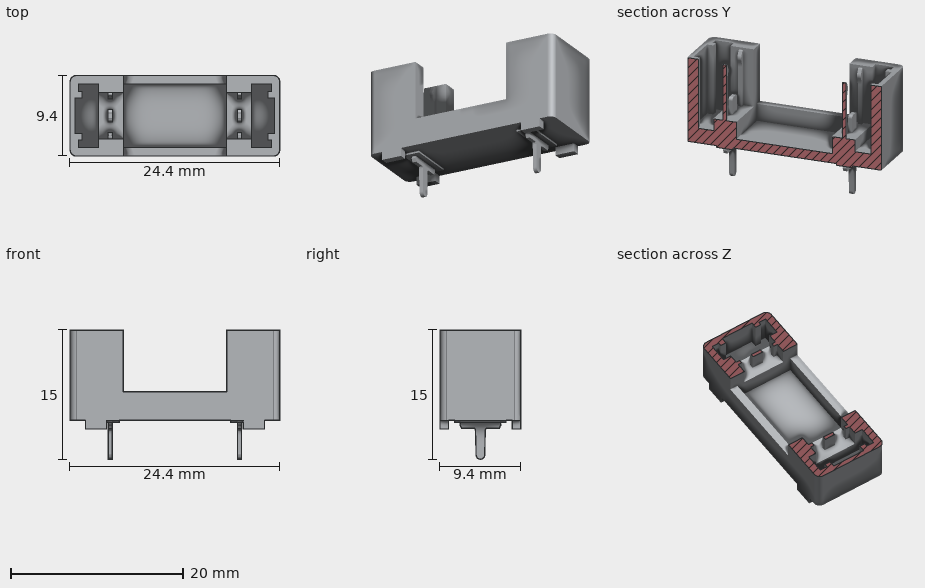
import cadquery as cq

length = 24.4
width = 9.4
body_height = 10.5
corner_radius = 0.75

gap_half_length = 6.0
sill_height = 3.35
tray_floor = 1.22

pocket_half_width = 3.7
pocket_inner_x = 8.9
pocket_outer_x = 11.22
pocket_floor = 1.88
recess_outer_x = 11.6
recess_half_width = 2.07
rib_inner_x = 10.8
rib_half_span = 2.83
channel_half_width = 2.7

foot_inner_x = 7.93
foot_outer_x = 10.42
foot_width = 1.0
foot_height = 1.0

terminal_x = 7.52
terminal_thickness = 0.5
pad_length = 2.1
pad_width = 5.98
pad_height = 0.22
shoulder_top_half_width = 2.27
shoulder_half_width = 2.4
shoulder_bottom_half_width = 2.2
shoulder_taper_top = -0.51
shoulder_bottom = -0.93
stem_half_width = 0.65
stem_neck_half_width = 0.59
stem_neck_z = -1.12
stem_tip_half_width = 0.51
pin_bottom = -4.51
blade_width = 1.45
blade_height = 2.15
blade_corner_radius = 0.4

spring_bend_start = (0.5, 8.17)
spring_bend_middle = (0.51, 8.6)
spring_bend_end = (0.65, 9.03)
spring_bulge_peak = (0.75, 9.42)
spring_bulge_end = (0.68, 9.69)
spring_tip_start = (0.37, 10.22)
spring_tip_top = (0.22, 10.3)
spring_tip_end = (0, 10.13)


def box(x_min, x_max, y_min, y_max, z_min, z_max):
    """Axis-aligned block given by its limits."""
    size = (x_max - x_min, y_max - y_min, z_max - z_min)
    return cq.Workplane("XY").box(*size, centered=False).translate((x_min, y_min, z_min))


def centred_box(x_min, x_max, half_width, z_min, z_max):
    """Block that is symmetric about the XZ plane."""
    return box(x_min, x_max, -half_width, half_width, z_min, z_max)


def terminal_plane():
    """Sketch plane whose local axes are Y and Z, on the inner face of the right-hand terminal."""
    return cq.Workplane("YZ", origin=(terminal_x - terminal_thickness / 2, 0, 0))


def both_ends(shape):
    """The shape together with its mirror image at the other end."""
    return shape.union(shape.mirror("YZ"))


def make_body():
    """Rounded block with a gap across the middle and a shallow tray below the sills."""
    body = box(-length / 2, length / 2, -width / 2, width / 2, 0, body_height)
    body = body.edges("|Z").fillet(corner_radius)
    gap = centred_box(-gap_half_length, gap_half_length, width, sill_height, body_height)
    tray = centred_box(-gap_half_length, gap_half_length, pocket_half_width, tray_floor, body_height)
    return body.cut(gap).cut(tray)


def make_tower_cavity():
    """Pocket with two guide ribs and a recess, open to the gap through a channel."""
    pocket = centred_box(pocket_inner_x, pocket_outer_x, pocket_half_width, pocket_floor, body_height)
    ribs = centred_box(rib_inner_x, pocket_outer_x, rib_half_span, pocket_floor, body_height)
    recess = centred_box(pocket_inner_x, recess_outer_x, recess_half_width, pocket_floor, body_height)
    channel = centred_box(gap_half_length, pocket_inner_x, channel_half_width, sill_height, body_height)
    return pocket.cut(ribs).union(recess).union(channel)


def make_feet():
    """Two feet under one tower, flush with the long sides."""
    outer_y = width / 2
    foot = box(foot_inner_x, foot_outer_x, outer_y - foot_width, outer_y, -foot_height, 0)
    return foot.union(foot.mirror("XZ"))


def make_pin():
    """Standoff pad and flat solder pin with tapered shoulders and a rounded tip."""
    pad = centred_box(
        terminal_x - pad_length / 2, terminal_x + pad_length / 2, pad_width / 2, -pad_height, 0
    )
    tip_z = pin_bottom + stem_tip_half_width
    pin = (
        terminal_plane()
        .moveTo(-shoulder_top_half_width, 0)
        .lineTo(-shoulder_half_width, shoulder_taper_top)
        .lineTo(-shoulder_bottom_half_width, shoulder_bottom)
        .lineTo(-stem_half_width, shoulder_bottom)
        .lineTo(-stem_neck_half_width, stem_neck_z)
        .lineTo(-stem_tip_half_width, tip_z)
        .threePointArc((0, pin_bottom), (stem_tip_half_width, tip_z))
        .lineTo(stem_neck_half_width, stem_neck_z)
        .lineTo(stem_half_width, shoulder_bottom)
        .lineTo(shoulder_bottom_half_width, shoulder_bottom)
        .lineTo(shoulder_half_width, shoulder_taper_top)
        .lineTo(shoulder_top_half_width, 0)
        .close()
        .extrude(terminal_thickness)
    )
    return pad.union(pin)


def make_blade():
    """Upright contact blade in the middle of the channel floor."""
    blade = centred_box(
        terminal_x - terminal_thickness / 2,
        terminal_x + terminal_thickness / 2,
        blade_width / 2,
        sill_height,
        sill_height + blade_height,
    )
    return blade.edges("|X and >Z").fillet(blade_corner_radius)


def make_springs():
    """Upright springs on both channel walls, each with a rounded bulge near the top."""
    spring_foot_depth = spring_bend_start[0]

    def from_wall(point):
        distance, height = point
        return (channel_half_width - distance, height)

    spring = (
        terminal_plane()
        .moveTo(*from_wall((0, sill_height)))
        .lineTo(*from_wall((spring_foot_depth, sill_height)))
        .lineTo(*from_wall(spring_bend_start))
        .threePointArc(from_wall(spring_bend_middle), from_wall(spring_bend_end))
        .threePointArc(from_wall(spring_bulge_peak), from_wall(spring_bulge_end))
        .lineTo(*from_wall(spring_tip_start))
        .threePointArc(from_wall(spring_tip_top), from_wall(spring_tip_end))
        .close()
        .extrude(terminal_thickness)
    )
    return spring.union(spring.mirror("XZ"))


result = make_body().cut(both_ends(make_tower_cavity()))
for feature in (make_feet(), make_pin(), make_blade(), make_springs()):
    result = result.union(both_ends(feature))